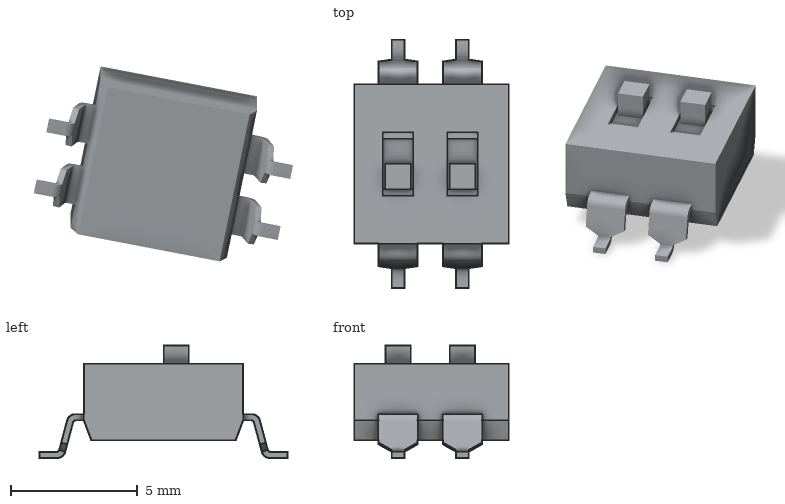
import cadquery as cq
import math


body_width = 6.12
body_length = 6.29
body_bottom = 0.71
body_top = 3.73
bottom_length = 5.7

pitch = 2.54
row_shift = -0.05
switch_xs = [row_shift - pitch / 2, row_shift + pitch / 2]

slot_width = 1.21
slot_length = 2.51
ledge_depth = 0.1
pit_depth = 0.29
actuator_width = 1.01
actuator_travel = 1.0
pit_length = 2 * actuator_travel
actuator_top = 4.45

lead_span = 9.8
lead_width = 1.55
tip_width = 0.51
sheet = 0.25
bend_radius = 0.1
foot_length = 0.69
arm_bottom = 1.49
lean = math.radians(15)
shoulder_angle = math.radians(30)


def make_housing():
    """Block whose two end faces taper inward below the leads."""
    half_length = body_length / 2
    half_bottom = bottom_length / 2
    outline = [
        (-half_bottom, body_bottom),
        (half_bottom, body_bottom),
        (half_length, arm_bottom),
        (half_length, body_top),
        (-half_length, body_top),
        (-half_length, arm_bottom),
    ]
    return cq.Workplane("YZ").polyline(outline).close().extrude(body_width / 2, both=True)


def recess_cutter(width, length, depth):
    """Rectangular cutter for a recess in the top face, centred on X = Y = 0."""
    return cq.Workplane(origin=(0, 0, body_top)).rect(width, length).extrude(-depth)


def make_slot():
    """Shallow slot with a deeper pit, leaving a ledge at each end."""
    pit = recess_cutter(slot_width, pit_length, pit_depth)
    return recess_cutter(slot_width, slot_length, ledge_depth).union(pit)


def make_actuator():
    """Sliding block standing on the pit floor, pushed fully toward -Y."""
    floor = body_top - pit_depth
    return (
        cq.Workplane(origin=(0, -actuator_travel / 2, floor))
        .rect(actuator_width, actuator_travel)
        .extrude(actuator_top - floor)
    )


def polar(center, radius, angle):
    """Point in the YZ plane at a given angle from +Y around a centre."""
    return (center[0] + radius * math.cos(angle), center[1] + radius * math.sin(angle))


def make_lead():
    """Gull-wing lead on the +Y side: arm, leaning blade with shoulders, narrow foot."""
    outer_radius = bend_radius + sheet
    foot_end = lead_span / 2
    arm_top = arm_bottom + sheet

    lower = (foot_end - foot_length, outer_radius)
    upper_z = arm_bottom - bend_radius
    center_rise = upper_z - lower[1]
    center_run = (outer_radius + bend_radius) / math.cos(lean) + center_rise * math.tan(lean)
    upper = (lower[0] - center_run, upper_z)

    upper_mid = (lean + math.pi / 2) / 2
    lower_start = math.pi + lean
    lower_mid = (lower_start + 3 * math.pi / 2) / 2
    blade_end = polar(lower, bend_radius, lower_start)

    strip = (
        cq.Workplane("YZ")
        .moveTo(body_length / 2, arm_top)
        .lineTo(upper[0], arm_top)
        .threePointArc(polar(upper, outer_radius, upper_mid), polar(upper, outer_radius, lean))
        .lineTo(*blade_end)
        .threePointArc(polar(lower, bend_radius, lower_mid), (lower[0], sheet))
        .lineTo(foot_end, sheet)
        .lineTo(foot_end, 0)
        .lineTo(lower[0], 0)
        .threePointArc(polar(lower, outer_radius, lower_mid), polar(lower, outer_radius, lower_start))
        .lineTo(*polar(upper, bend_radius, lean))
        .threePointArc(polar(upper, bend_radius, upper_mid), (upper[0], arm_bottom))
        .lineTo(body_length / 2, arm_bottom)
        .close()
        .extrude(lead_width / 2, both=True)
    )

    half_width = lead_width / 2
    half_tip = tip_width / 2
    shoulder_height = (half_width - half_tip) * math.tan(shoulder_angle)
    reach = lead_span / 2
    outline = [
        (-half_tip, -reach),
        (half_tip, -reach),
        (half_tip, 0),
        (half_width, shoulder_height),
        (half_width, reach),
        (-half_width, reach),
        (-half_width, shoulder_height),
        (-half_tip, 0),
    ]
    blade_plane = cq.Plane(
        origin=(0, blade_end[0], blade_end[1]),
        xDir=(1, 0, 0),
        normal=(0, -math.cos(lean), -math.sin(lean)),
    )
    silhouette = cq.Workplane(blade_plane).polyline(outline).close().extrude(reach, both=True)
    return strip.intersect(silhouette)


slot = make_slot()
actuator = make_actuator()
lead = make_lead()
opposite_lead = lead.mirror("XZ")

result = make_housing()
for x in switch_xs:
    place = (x, 0, 0)
    result = result.cut(slot.translate(place)).union(actuator.translate(place))
    result = result.union(lead.translate(place)).union(opposite_lead.translate(place))